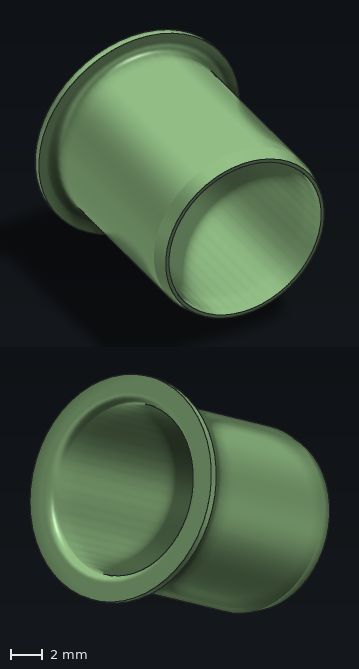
import cadquery as cq
import math

length = 14.0
bore_diameter = 11.0
wall = 0.5
flange_diameter = 14.5
neck_fillet = 0.6
mouth_fillet = 0.6
lead_in_length = 1.0
lead_in_angle = 15.0

bore_radius = bore_diameter / 2
tube_radius = bore_radius + wall
flange_radius = flange_diameter / 2
lead_in_depth = lead_in_length * math.tan(math.radians(lead_in_angle))
quarter_arc = math.sqrt(0.5)


def wall_section():
    """Half section of the wall, with X along the axis and Y as the radius."""
    neck_x = wall + neck_fillet
    neck_radius = tube_radius + neck_fillet
    neck_mid = (neck_x - neck_fillet * quarter_arc, neck_radius - neck_fillet * quarter_arc)

    mouth_radius = bore_radius + mouth_fillet
    mouth_mid = (mouth_fillet * (1 - quarter_arc), mouth_radius - mouth_fillet * quarter_arc)

    return (
        cq.Workplane("XY")
        .moveTo(0, mouth_radius)
        .lineTo(0, flange_radius)
        .lineTo(wall, flange_radius)
        .lineTo(wall, neck_radius)
        .threePointArc(neck_mid, (neck_x, tube_radius))
        .lineTo(length - lead_in_length, tube_radius)
        .lineTo(length, tube_radius - lead_in_depth)
        .lineTo(length, bore_radius)
        .lineTo(mouth_fillet, bore_radius)
        .threePointArc(mouth_mid, (0, mouth_radius))
        .close()
    )


result = wall_section().revolve(360, (0, 0, 0), (1, 0, 0))